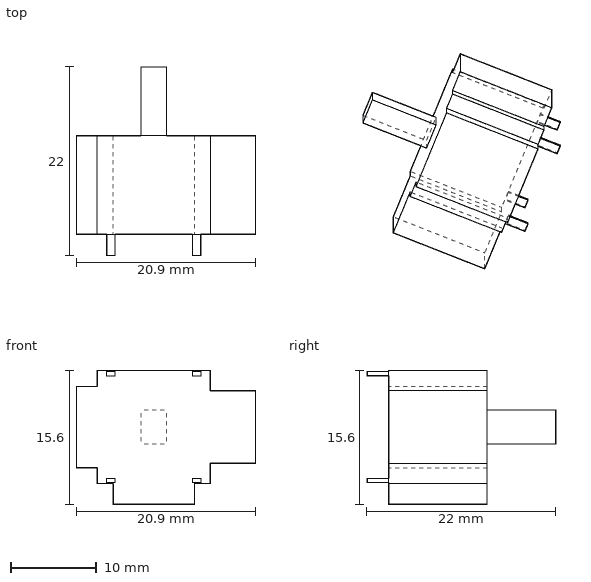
import cadquery as cq

total_width = 20.9
total_length = 22.0
total_height = 15.6

housing_side = 13.2
shaft_length = 8.0
pin_length = 2.49
housing_depth = total_length - shaft_length - pin_length
half_side = housing_side / 2

left_reach = 2.42
right_reach = total_width - housing_side - left_reach
bottom_reach = total_height - housing_side
left_height = 9.5
right_height = 8.5
bottom_width = 9.5

shaft_width = 3.0
shaft_height = 4.0

pin_width = 1.0
pin_height = 0.5
pin_spacing_x = 10.0
pin_spacing_z = 12.45


def block(width, depth, height, x=0, y=0, z=0):
    """Box centred on x and z, running in +Y from its front face at y."""
    return cq.Workplane("XY").box(width, depth, height, centered=(True, False, True)).translate((x, y, z))


housing = block(housing_side, housing_depth, housing_side)
left_block = block(left_reach, housing_depth, left_height, x=-half_side - left_reach / 2)
right_block = block(right_reach, housing_depth, right_height, x=half_side + right_reach / 2)
bottom_block = block(bottom_width, housing_depth, bottom_reach, z=-half_side - bottom_reach / 2)
shaft = block(shaft_width, shaft_length, shaft_height, y=housing_depth)

result = housing.union(left_block).union(right_block).union(bottom_block).union(shaft)

for side_x in (-1, 1):
    for side_z in (-1, 1):
        pin = block(
            pin_width,
            pin_length,
            pin_height,
            x=side_x * pin_spacing_x / 2,
            y=-pin_length,
            z=side_z * pin_spacing_z / 2,
        )
        result = result.union(pin)